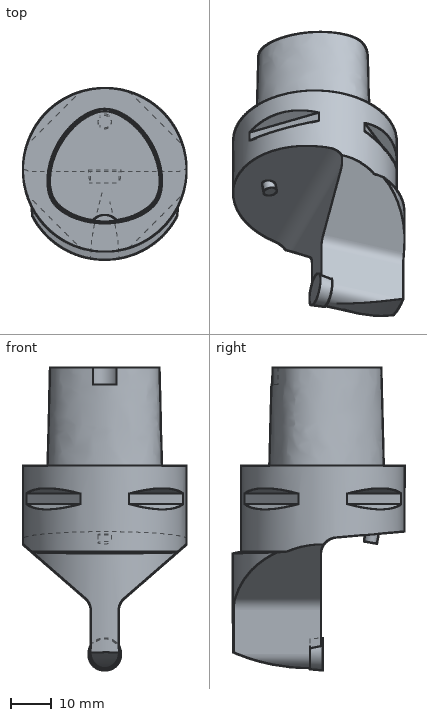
import cadquery as cq
import math

shank_height = 24.0
shank_mean_diameter = 28.0
shank_taper = 1 / 20
shank_lobe = 0.9
shank_curve_points = 48

notch_radius = 3.75
notch_depth = 4.2
notch_center_y = -14.75

flange_radius = 20.0
flange_bottom_z = -21.0
head_radius = flange_radius
head_shift_y = -2.0
ledge_slope = 12.0

groove_count = 4
groove_z = -8.1
groove_floor_distance = 17.7
groove_floor_width = 2.5
groove_flank_angle = 30.0

insert_radius = 4.0
insert_thickness = 3.2
insert_relief_angle = 5.0
insert_center_z = -46.0
insert_bottom_z = insert_center_z - insert_radius

blade_width = 6.9
blade_face_y = -0.45
blade_end_radius = blade_width / 2
relief_curve_radius = 47.0
relief_start_y = -insert_thickness

front_relief_edge_z = -16.1
front_relief_slope = 5.0
front_relief_fillet = 4.0

flank_top_z = -19.2
flank_slope = 41.0
flank_fillet = 3.7

nozzle_diameter = 3.3
nozzle_tilt = 10.0
nozzle_tip_y = 11.6
nozzle_tip_z = -18.8
nozzle_length = 6.0

margin = 10.0


def tan_degrees(angle):
    return math.tan(math.radians(angle))


def shank_outline(diameter):
    """Points on the lobed curve, with one lobe pointing to +Y."""
    points = []
    for index in range(shank_curve_points):
        angle = 2 * math.pi * index / shank_curve_points
        along = diameter / 2 * math.cos(angle) + 2 * shank_lobe * math.cos(2 * angle)
        along -= shank_lobe * math.cos(4 * angle)
        across = diameter / 2 * math.sin(angle) - 2 * shank_lobe * math.sin(2 * angle)
        across -= shank_lobe * math.sin(4 * angle)
        points.append((-across, along))
    return points


def make_shank():
    """Tapered polygonal shank with the index notch cut into its -Y rim."""
    top_diameter = shank_mean_diameter - shank_taper * shank_height
    shank = (
        cq.Workplane("XY")
        .spline(shank_outline(shank_mean_diameter), periodic=True)
        .wire()
        .workplane(offset=shank_height)
        .spline(shank_outline(top_diameter), periodic=True)
        .wire()
        .loft(ruled=True, combine=True)
    )
    notch = (
        cq.Workplane("XY", origin=(0, notch_center_y, shank_height - notch_depth))
        .circle(notch_radius)
        .extrude(notch_depth)
    )
    return shank.cut(notch)


def make_groove(angle):
    """Trapezoidal groove with a flat floor, tangential to the flange."""
    outer = flange_radius + margin
    floor_half = groove_floor_width / 2
    mouth_half = floor_half + (outer - groove_floor_distance) * tan_degrees(groove_flank_angle)
    return (
        cq.Workplane("XZ", origin=(0, flange_radius, groove_z))
        .moveTo(groove_floor_distance, -floor_half)
        .lineTo(outer, -mouth_half)
        .lineTo(outer, mouth_half)
        .lineTo(groove_floor_distance, floor_half)
        .close()
        .extrude(2 * flange_radius)
        .rotate((0, 0, 0), (0, 0, 1), angle)
    )


def make_flange():
    """Round flange with gripper grooves midway between the X and Y axes."""
    flange = cq.Workplane("XY").circle(flange_radius).extrude(flange_bottom_z)
    for index in range(groove_count):
        flange = flange.cut(make_groove((index + 0.5) * 360 / groove_count))
    return flange


def make_head():
    """Shifted cylinder whose exposed ledge falls away from the flange as a shallow cone."""
    head = (
        cq.Workplane("XY", origin=(0, head_shift_y, flange_bottom_z))
        .circle(head_radius)
        .extrude(insert_bottom_z - flange_bottom_z)
    )
    ledge_reach = flange_radius + margin
    ledge_cutter = (
        cq.Workplane("XZ", origin=(0, 0, flange_bottom_z))
        .moveTo(flange_radius, 0)
        .lineTo(ledge_reach, 0)
        .lineTo(ledge_reach, -margin * tan_degrees(ledge_slope))
        .close()
        .revolve(360, (0, 0), (0, 1))
    )
    return head.cut(ledge_cutter)


def make_flank_cutter():
    """Space beside the blade and below the sloping flank, on the +X side."""
    blade_half = blade_width / 2
    corner_z = flank_top_z - (flange_radius - blade_half) * tan_degrees(flank_slope)
    outer_x = flange_radius + margin
    outer_z = flank_top_z + margin * tan_degrees(flank_slope)
    bottom_z = insert_bottom_z - margin
    reach = flange_radius + margin
    return (
        cq.Workplane("XZ", origin=(0, reach, 0))
        .moveTo(blade_half, bottom_z)
        .lineTo(blade_half, corner_z)
        .lineTo(outer_x, outer_z)
        .lineTo(outer_x, bottom_z)
        .close()
        .extrude(2 * reach)
        .edges(cq.selectors.NearestToPointSelector((blade_half, 0, corner_z)))
        .fillet(flank_fillet)
    )


def make_front_relief():
    """Space on the +Y side of the blade face, under the flange."""
    outer_y = flange_radius + margin
    outer_z = front_relief_edge_z + margin * tan_degrees(front_relief_slope)
    corner_z = front_relief_edge_z - (flange_radius - blade_face_y) * tan_degrees(front_relief_slope)
    bottom_z = insert_bottom_z - margin
    reach = flange_radius + margin
    return (
        cq.Workplane("YZ", origin=(-reach, 0, 0))
        .moveTo(blade_face_y, bottom_z)
        .lineTo(blade_face_y, corner_z)
        .lineTo(outer_y, outer_z)
        .lineTo(outer_y, bottom_z)
        .close()
        .extrude(2 * reach)
        .edges(cq.selectors.NearestToPointSelector((0, blade_face_y, corner_z)))
        .fillet(front_relief_fillet)
    )


def make_blade_end_envelope():
    """Everything above the rounded lower end of the blade."""
    reach = flange_radius + margin
    height = shank_height - insert_center_z
    rounded = (
        cq.Workplane("XZ", origin=(0, reach, insert_center_z))
        .circle(blade_end_radius)
        .extrude(2 * reach)
    )
    above = (
        cq.Workplane("XY", origin=(0, 0, insert_center_z))
        .rect(2 * reach, 2 * reach)
        .extrude(height)
    )
    return above.union(rounded)


def make_heel_cutter():
    """Space under the curved heel, which rises from behind the insert to the back of the blade."""
    start_z = insert_center_z - blade_end_radius
    center_z = start_z + relief_curve_radius
    end_y = -flange_radius - margin
    end_z = center_z - math.sqrt(relief_curve_radius**2 - (end_y - relief_start_y) ** 2)
    middle_y = (relief_start_y + end_y) / 2
    middle_z = center_z - math.sqrt(relief_curve_radius**2 - (middle_y - relief_start_y) ** 2)
    bottom_z = insert_bottom_z - margin
    return (
        cq.Workplane("YZ", origin=(-flange_radius, 0, 0))
        .moveTo(relief_start_y, start_z)
        .threePointArc((middle_y, middle_z), (end_y, end_z))
        .lineTo(end_y, bottom_z)
        .lineTo(relief_start_y, bottom_z)
        .close()
        .extrude(2 * flange_radius)
    )


def make_nozzle():
    """Tilted coolant nozzle that runs up from its tip into the flange."""
    tilt = math.radians(nozzle_tilt)
    axis = cq.Vector(0, math.sin(tilt), math.cos(tilt))
    tip = cq.Vector(0, nozzle_tip_y, nozzle_tip_z)
    return cq.Workplane(cq.Solid.makeCylinder(nozzle_diameter / 2, nozzle_length, tip, axis))


def make_insert():
    """Round insert with its rake face at Y = 0 and a conical relief behind it."""
    back_radius = insert_radius - insert_thickness * tan_degrees(insert_relief_angle)
    center = cq.Vector(0, 0, insert_center_z)
    cone = cq.Solid.makeCone(insert_radius, back_radius, insert_thickness, center, cq.Vector(0, -1, 0))
    return cq.Workplane(cone)


def make_holder(insert):
    """Tool holder in one piece, with a seat that matches the insert."""
    flank_cutter = make_flank_cutter()
    return (
        make_flange()
        .union(make_head())
        .cut(flank_cutter)
        .cut(flank_cutter.mirror("YZ"))
        .cut(make_front_relief())
        .intersect(make_blade_end_envelope())
        .cut(make_heel_cutter())
        .union(make_shank())
        .union(make_nozzle())
        .cut(insert)
    )


insert = make_insert()
holder = make_holder(insert)
result = cq.Compound.makeCompound([holder.solids().val(), insert.val()])